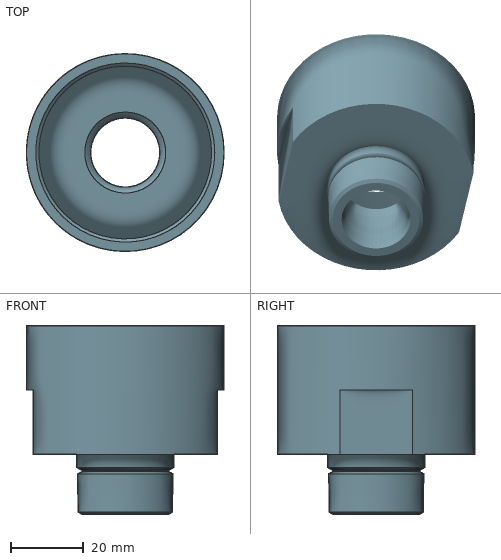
import cadquery as cq

cup_diameter = 54.5
total_height = 52.0

cup_height = 35.5
cavity_diameter = 47.6
cavity_depth = 30.3
rim_chamfer = 0.85

flat_spacing = 50.75
flat_height = cup_height / 2

bore_diameter = 18.95
countersink_diameter = 22.3

neck_diameter = 26.8
groove_diameter = 24.0
groove_top = 12.9
groove_floor_top = 12.15
groove_floor_bottom = 11.75
barrel_top = 11.15
barrel_top_diameter = 26.45
barrel_bottom_diameter = 25.95
tip_diameter = 23.9
tip_chamfer_height = 0.6

cup_bottom = total_height - cup_height
cavity_floor = total_height - cavity_depth


def revolve_profile(points):
    """Revolve a closed (radius, height) outline around the Z axis."""
    return cq.Workplane("XZ").polyline(points).close().revolve(360, (0, 0, 0), (0, 1, 0))


def make_body():
    """Turned cup and stem, including the cavity and bore."""
    bore_radius = bore_diameter / 2
    countersink_radius = countersink_diameter / 2
    countersink_depth = countersink_radius - bore_radius
    cavity_radius = cavity_diameter / 2
    stem_side = [
        (bore_radius, 0),
        (tip_diameter / 2, 0),
        (barrel_bottom_diameter / 2, tip_chamfer_height),
        (barrel_top_diameter / 2, barrel_top),
        (groove_diameter / 2, groove_floor_bottom),
        (groove_diameter / 2, groove_floor_top),
        (neck_diameter / 2, groove_top),
        (neck_diameter / 2, cup_bottom),
    ]
    cup_side = [
        (cup_diameter / 2, cup_bottom),
        (cup_diameter / 2, total_height),
    ]
    inside = [
        (cavity_radius + rim_chamfer, total_height),
        (cavity_radius, total_height - rim_chamfer),
        (cavity_radius, cavity_floor),
        (countersink_radius, cavity_floor),
        (bore_radius, cavity_floor - countersink_depth),
    ]
    return revolve_profile(stem_side + cup_side + inside)


def cut_flats(body):
    """Remove the material outside the two parallel wrench flats."""
    for side in (-1, 1):
        cutter_center = side * (flat_spacing + cup_diameter) / 2
        cutter = (
            cq.Workplane("XY", origin=(cutter_center, 0, cup_bottom))
            .rect(cup_diameter, cup_diameter)
            .extrude(flat_height)
        )
        body = body.cut(cutter)
    return body


result = cut_flats(make_body())